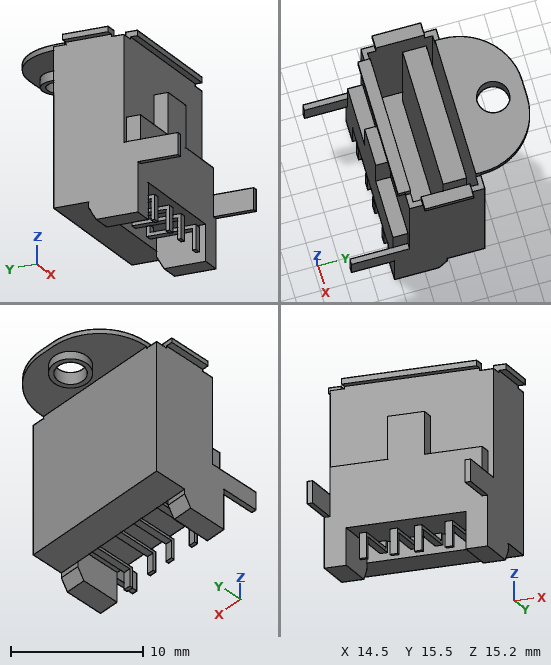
import cadquery as cq

top_z = 15.22
flange_thickness = 0.45
flange_under_z = top_z - flange_thickness
rim_notch_depth = 0.64
rim_z = top_z - rim_notch_depth
shell_bottom_z = 1.52

shell_width = 13.35
shell_depth = 5.92
shell_mid_y = shell_depth / 2
side_wall = 0.45
end_wall = 0.4
cavity_width = shell_width - 2 * side_wall
cavity_floor_z = 4.07

lip_overhang = 0.57
side_lip_span = shell_width + 2 * lip_overhang
front_lip_width = 11.05
side_lip_length = 3.84
side_lip_front_y = shell_mid_y - side_lip_length / 2
side_lip_rear_y = shell_mid_y + side_lip_length / 2

lug_width = 11.17
lug_end_y = 10.96
lug_corner_radius = 4.9
hole_y = 8.48
hole_diameter = 2.52
hub_diameter = 3.34
hub_height = 0.76

tongue_width = 11.05
tongue_thickness = 1.85
tongue_top_z = 14.72

base_front_y = -1.18
shoulder_z = 8.03
stem_width = 3.01
stem_top_z = 11.46
leg_chamfer_run = 0.64
leg_chamfer_rise = 1.04
recess_width = 9.77
recess_top_z = 3.0
recess_back_y = shell_mid_y

tab_front_y = -4.57
tab_bottom_z = cavity_floor_z
tab_top_z = 5.85

pin_positions_x = (-3.51, -1.0, 1.0, 3.51)
pin_width = 0.6
pin_thickness = 0.3
pin_front_y = base_front_y
pin_bottom_z = 0.39
pin_elbow_z = 2.42


def block(width, y_min, y_max, z_min, z_max, x_mid=0.0):
    """Box of the given X width, placed by its Y and Z limits."""
    return (
        cq.Workplane("XY", origin=(x_mid, (y_min + y_max) / 2, z_min))
        .box(width, y_max - y_min, z_max - z_min, centered=(True, True, False))
    )


def make_shell():
    """Outer box up to the rim, with the wall strips that carry the lips and lug."""
    shell = block(shell_width, 0, shell_depth, shell_bottom_z, rim_z)
    front_strip = block(front_lip_width, 0, end_wall, rim_z, top_z)
    rear_strip = block(lug_width, shell_depth - end_wall, shell_depth, rim_z, top_z)
    side_strips = block(shell_width, side_lip_front_y, side_lip_rear_y, rim_z, top_z)
    return shell.union(front_strip).union(rear_strip).union(side_strips)


def make_lips():
    """Front lip and both side lips; the cavity cut later opens the middle."""
    front_lip = block(front_lip_width, -lip_overhang, end_wall, flange_under_z, top_z)
    side_lips = block(side_lip_span, side_lip_front_y, side_lip_rear_y, flange_under_z, top_z)
    return front_lip.union(side_lips)


def make_disc(diameter):
    """Upright cylinder on the hole axis, from the hub's lower end to the top face."""
    return (
        cq.Workplane("XY", origin=(0, hole_y, flange_under_z - hub_height))
        .circle(diameter / 2)
        .extrude(hub_height + flange_thickness)
    )


def make_lug():
    """Rounded plate behind the mouth with the hub hanging from it."""
    plate = (
        block(lug_width, shell_depth - end_wall, lug_end_y, flange_under_z, top_z)
        .edges("|Z and >Y")
        .fillet(lug_corner_radius)
    )
    hub = make_disc(hub_diameter)
    hole = make_disc(hole_diameter)
    return plate.union(hub).cut(hole)


def make_base():
    """Front plate with a stem, above two legs that have chamfered rear corners."""
    plate = block(cavity_width, base_front_y, 0, tab_bottom_z, shoulder_z)
    stem = block(stem_width, base_front_y, 0, shoulder_z, stem_top_z)
    foot = (
        cq.Workplane("YZ", origin=(-shell_width / 2, 0, 0))
        .moveTo(base_front_y, 0)
        .lineTo(shell_mid_y - leg_chamfer_run, 0)
        .lineTo(shell_mid_y, leg_chamfer_rise)
        .lineTo(shell_mid_y, tab_bottom_z)
        .lineTo(base_front_y, tab_bottom_z)
        .close()
        .extrude(shell_width)
    )
    return plate.union(stem).union(foot)


def make_recess():
    """Space between the legs that holds the pins, back to the middle of the shell."""
    return block(recess_width, base_front_y, recess_back_y, 0, recess_top_z)


def make_tab(side):
    """Flat solder tab that continues one side wall forward."""
    x_mid = side * (shell_width - side_wall) / 2
    return block(side_wall, tab_front_y, 0, tab_bottom_z, tab_top_z, x_mid)


def make_pin(x_mid):
    """Z-bent contact pin: down from the recess roof, forward, then down again."""
    riser_front_y = recess_back_y - pin_thickness
    leg_back_y = pin_front_y + pin_thickness
    arm_under_z = pin_elbow_z - pin_thickness
    riser = block(pin_width, riser_front_y, recess_back_y, arm_under_z, recess_top_z, x_mid)
    arm = block(pin_width, pin_front_y, recess_back_y, arm_under_z, pin_elbow_z, x_mid)
    leg = block(pin_width, pin_front_y, leg_back_y, pin_bottom_z, pin_elbow_z, x_mid)
    return riser.union(arm).union(leg)


cavity = block(cavity_width, end_wall, shell_depth - end_wall, cavity_floor_z, top_z)
tongue = block(tongue_width, shell_mid_y, shell_mid_y + tongue_thickness, cavity_floor_z, tongue_top_z)

result = make_shell().union(make_lips()).union(make_lug()).union(make_base())
result = result.cut(cavity).cut(make_recess()).union(tongue)
for tab_side in (-1, 1):
    result = result.union(make_tab(tab_side))
for pin_x in pin_positions_x:
    result = result.union(make_pin(pin_x))